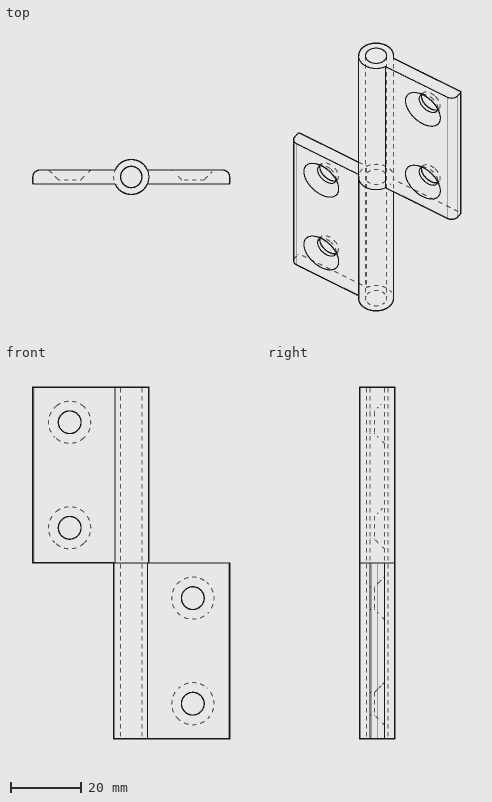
import cadquery as cq

hinge_height = 100.0
hinge_width = 56.0
leaf_height = hinge_height / 2
leaf_reach = hinge_width / 2

knuckle_diameter = 10.0
bore_diameter = 6.0
plate_thickness = 4.0
back_edge_round = 2.0
front_edge_round = 0.3

hole_diameter = 6.4
countersink_diameter = 12.0
countersink_depth = (countersink_diameter - hole_diameter) / 2
hole_offset = 17.5
hole_spacing = 30.0


def screw_hole(x, z):
    """Cutter for a hole along Y through the plate, countersunk on the +Y face."""
    hole_radius = hole_diameter / 2
    back_y = plate_thickness / 2
    front_point = cq.Vector(x, -back_y, z)
    cone_point = cq.Vector(x, back_y - countersink_depth, z)
    along_y = cq.Vector(0, 1, 0)
    shank = cq.Solid.makeCylinder(hole_radius, plate_thickness, front_point, along_y)
    cone = cq.Solid.makeCone(
        hole_radius, countersink_diameter / 2, countersink_depth, cone_point, along_y
    )
    return cq.Workplane("XY").add(shank).union(cq.Workplane("XY").add(cone))


def make_leaf(side, base_z):
    """One hinge half; side is -1 or +1, the X direction in which its plate extends."""
    knuckle = cq.Workplane("XY").circle(knuckle_diameter / 2).extrude(leaf_height)
    plate = (
        cq.Workplane("XY")
        .center(side * leaf_reach / 2, 0)
        .rect(leaf_reach, plate_thickness)
        .extrude(leaf_height)
    )

    outer_face = ">X" if side > 0 else "<X"
    plate = plate.faces(outer_face).edges(">Y").fillet(back_edge_round)
    plate = plate.faces(outer_face).edges("<Y").fillet(front_edge_round)

    bore = cq.Workplane("XY").circle(bore_diameter / 2).extrude(leaf_height)
    leaf = knuckle.union(plate).cut(bore)
    for step in (-1, 1):
        hole_z = leaf_height / 2 + step * hole_spacing / 2
        leaf = leaf.cut(screw_hole(side * hole_offset, hole_z))
    return leaf.translate((0, 0, base_z))


lower_leaf = make_leaf(side=1, base_z=0)
upper_leaf = make_leaf(side=-1, base_z=leaf_height)

result = cq.Compound.makeCompound([lower_leaf.val(), upper_leaf.val()])